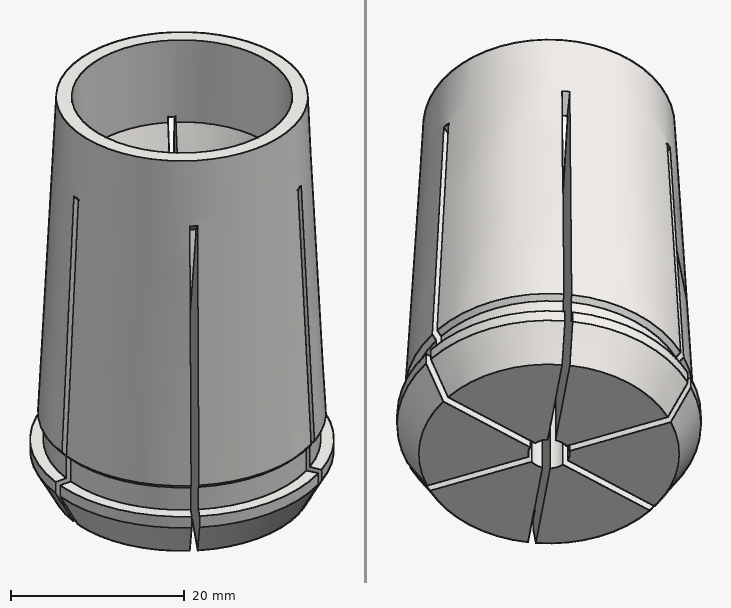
import cadquery as cq
import math

total_height = 52.0
flange_radius = 17.5
bottom_radius = 15.0
groove_radius = 16.0
taper_base_radius = 16.6
taper_top_radius = 14.5

flange_bottom = 4.6
flange_top = 6.1
groove_top = 9.1
taper_start = groove_top + (taper_base_radius - groove_radius)

bore_radius = 12.7
bore_depth = 11.0
hole_radius = 2.4
floor_half_angle = 26.0

slot_count = 6
slot_width = 0.9
slot_first_angle = 30.0
slot_inner_top = 41.7
slot_outer_top = 43.5


def make_body():
    """Revolve the outer profile and the stepped inside in one go."""
    floor_edge = total_height - bore_depth
    floor_drop = (bore_radius - hole_radius) / math.tan(math.radians(floor_half_angle))
    profile = [
        (hole_radius, 0),
        (bottom_radius, 0),
        (flange_radius, flange_bottom),
        (flange_radius, flange_top),
        (groove_radius, flange_top),
        (groove_radius, groove_top),
        (taper_base_radius, taper_start),
        (taper_top_radius, total_height),
        (bore_radius, total_height),
        (bore_radius, floor_edge),
        (hole_radius, floor_edge - floor_drop),
    ]
    return cq.Workplane("XZ").polyline(profile).close().revolve(360, (0, 0), (0, 1))


def make_slot(angle):
    """One slot from the axis outwards, its end rising through the wall."""
    taper_slope = (taper_base_radius - taper_top_radius) / (total_height - taper_start)
    wall_radius = taper_top_radius + taper_slope * (total_height - slot_outer_top)
    end_slope = (slot_outer_top - slot_inner_top) / (wall_radius - bore_radius)
    reach = 2 * flange_radius
    outline = [
        (0, 0),
        (reach, 0),
        (reach, slot_outer_top + end_slope * (reach - wall_radius)),
        (0, slot_inner_top - end_slope * bore_radius),
    ]
    slot = cq.Workplane("XZ").polyline(outline).close().extrude(slot_width / 2, both=True)
    return slot.rotate((0, 0, 0), (0, 0, 1), angle)


result = make_body()
for index in range(slot_count):
    result = result.cut(make_slot(slot_first_angle + index * 360 / slot_count))